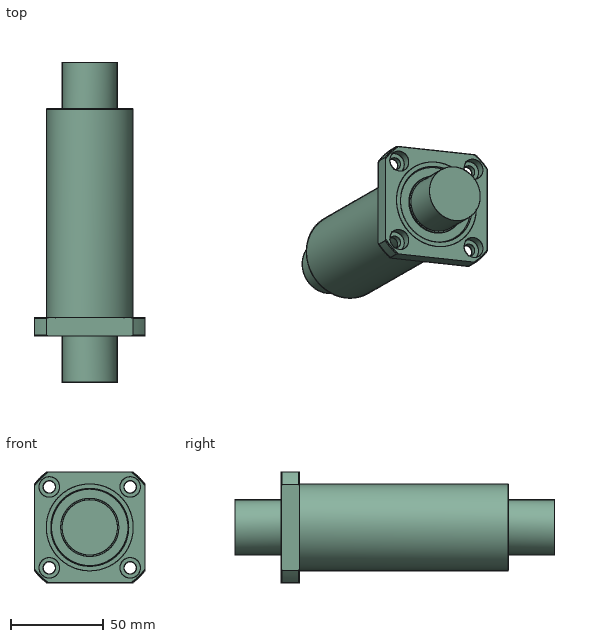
import cadquery as cq

shaft_length = 173.0
shaft_diameter = 30.0
sleeve_length = 123.0
sleeve_diameter = 47.0
sleeve_chamfer = 0.3

flange_width = 60.0
flange_corner_diameter = 76.0
flange_thickness = 10.0
flange_rim_chamfer = 0.5

hole_spacing = 43.8
hole_diameter = 6.5
counterbore_diameter = 11.0
counterbore_depth = 6.0

sleeve_setback = 0.2
seal_recess_diameter = 42.2
seal_face_diameter = 41.3
seal_recess_depth = 1.0
seal_lip_diameter = 31.5

flange_front = -sleeve_length / 2
sleeve_front = flange_front + sleeve_setback
seal_face = sleeve_front + seal_recess_depth


def cylinder(diameter, start, length):
    """Solid cylinder about the Y axis, from y = start toward +Y."""
    plane = cq.Plane(origin=(0, start, 0), xDir=(1, 0, 0), normal=(0, 1, 0))
    return cq.Workplane(plane).circle(diameter / 2).extrude(length)


def make_flange():
    """Square plate trimmed by a disc whose rim is chamfered on both faces."""
    disc = cylinder(flange_corner_diameter, flange_front, flange_thickness)
    disc = disc.edges("%CIRCLE").chamfer(flange_rim_chamfer)
    square = cq.Workplane("XY").box(flange_width, flange_thickness, flange_width)
    square = square.translate((0, flange_front + flange_thickness / 2, 0))
    return square.intersect(disc)


def make_mounting_holes():
    """Four through holes, counterbored from the front face of the flange."""
    hole = cylinder(hole_diameter, flange_front, flange_thickness)
    hole = hole.union(cylinder(counterbore_diameter, flange_front, counterbore_depth))
    cutters = cq.Workplane("XY")
    for x_side in (-1, 1):
        for z_side in (-1, 1):
            position = (x_side * hole_spacing / 2, 0, z_side * hole_spacing / 2)
            cutters = cutters.add(hole.translate(position))
    return cutters.combine()


def make_seal_recess():
    """Shallow tapered recess at the front, surrounding the shaft."""
    profile = [
        (0, sleeve_front),
        (seal_recess_diameter / 2, sleeve_front),
        (seal_face_diameter / 2, seal_face),
        (0, seal_face),
    ]
    return cq.Workplane("XY").polyline(profile).close().revolve(360, (0, 0, 0), (0, 1, 0))


sleeve = cylinder(sleeve_diameter, flange_front, sleeve_length)
sleeve = sleeve.faces(">Y").edges().chamfer(sleeve_chamfer)

body = sleeve.union(make_flange())
body = body.cut(make_mounting_holes())
body = body.cut(cylinder(sleeve_diameter, flange_front, sleeve_setback))
body = body.cut(make_seal_recess())

seal_lip = cylinder(seal_lip_diameter, sleeve_front, seal_recess_depth)
shaft = cylinder(shaft_diameter, -shaft_length / 2, shaft_length)

result = body.union(seal_lip).union(shaft)